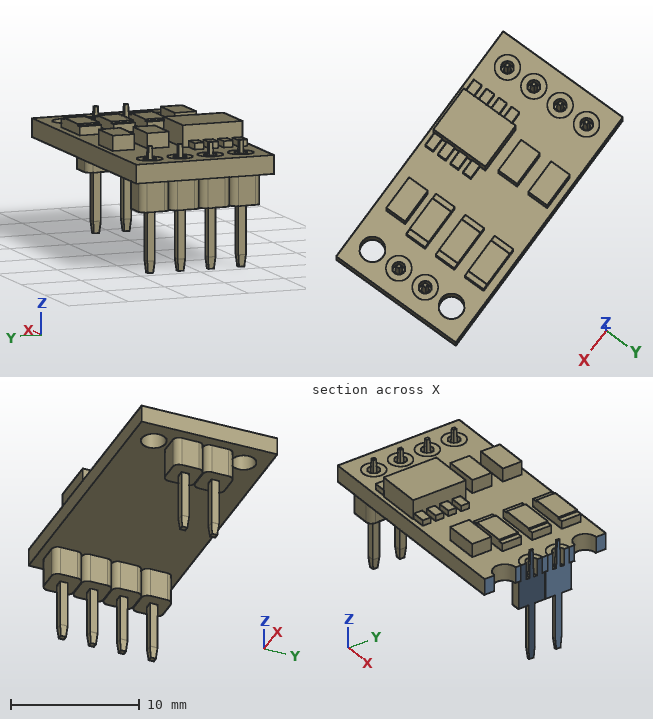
import cadquery as cq

board_length = 22.0
board_width = 11.5
board_thickness = 1.5

row_x = 8.89
row_span = 7.61
pins_per_row = 4
pin_pitch = row_span / (pins_per_row - 1)
row_y = [i * pin_pitch - row_span / 2 for i in range(pins_per_row)]
left_pin_points = [(-row_x, y) for y in row_y]
right_pin_points = [(row_x, y) for y in row_y[1:-1]]
mounting_points = [(row_x, y) for y in (row_y[0], row_y[-1])]

board_hole_diameter = 2.0

sleeve_bore = 1.01
block_width = 2.49
block_height = 2.5
block_corner_radius = 0.53
pin_width = 0.64
pin_shank_length = 4.0
pin_tip_length = 1.0
pin_tip_width = 0.45
pin_tail_base_width = 0.45
pin_tail_end_width = 0.29
pin_tail_rise = 1.0

chip_length = 3.0
chip_width = 1.8
capacitor_height = 1.2
capacitor_points = [(-3.23, 4.33), (-3.23, 1.45), (4.3, -3.83)]
resistor_height = 0.84
resistor_terminal_height = 0.7
resistor_terminal_length = 0.46
resistor_x = 4.49
resistor_middle_y = 1.39
resistor_pitch = 2.82

transceiver_x = -3.3
transceiver_y = -2.88
transceiver_length = 4.0
transceiver_width = 5.0
transceiver_height = 1.75
lead_span = 6.4
lead_width = 0.77
lead_height = 0.5
lead_pitch = 1.2
lead_count = 4
lead_middle_y = -3.1


def box_on(z, length, width, height, points):
    """Equal boxes centred on the points, standing on the plane at z."""
    return (
        cq.Workplane("XY", origin=(0, 0, z))
        .pushPoints(points)
        .rect(length, width)
        .extrude(height)
    )


def tapered_square(z, start_width, end_width, rise):
    """A square bar that tapers along Z; a negative rise makes it point down."""
    return (
        cq.Workplane("XY", origin=(0, 0, z))
        .rect(start_width, start_width)
        .workplane(offset=rise)
        .rect(end_width, end_width)
        .loft()
    )


def make_resistors():
    points = [(resistor_x, resistor_middle_y + i * resistor_pitch) for i in (-1, 0, 1)]
    terminal_span = chip_length + 2 * resistor_terminal_length
    bodies = box_on(0, chip_length, chip_width, resistor_height, points)
    terminals = box_on(0, terminal_span, chip_width, resistor_terminal_height, points)
    return bodies.union(terminals)


def make_transceiver():
    package = box_on(
        0, transceiver_length, transceiver_width, transceiver_height, [(transceiver_x, transceiver_y)]
    )
    lead_points = [
        (transceiver_x, lead_middle_y + (i - (lead_count - 1) / 2) * lead_pitch)
        for i in range(lead_count)
    ]
    leads = box_on(0, lead_span, lead_width, lead_height, lead_points)
    return package.union(leads)


def make_board():
    """The board with its holes and the components fixed to its top face."""
    plate = box_on(-board_thickness, board_length, board_width, board_thickness, [(0, 0)])
    holes = (
        cq.Workplane("XY", origin=(0, 0, -board_thickness))
        .pushPoints(left_pin_points + right_pin_points + mounting_points)
        .circle(board_hole_diameter / 2)
        .extrude(board_thickness)
    )
    capacitors = box_on(0, chip_length, chip_width, capacitor_height, capacitor_points)
    return plate.cut(holes).union(capacitors).union(make_resistors()).union(make_transceiver())


def make_header_pin():
    """A header pin on the Z axis: sleeve, block, shank, pointed tip and thin tail."""
    block_bottom = -board_thickness - block_height
    shank_bottom = block_bottom - pin_shank_length
    sleeve = (
        cq.Workplane("XY", origin=(0, 0, -board_thickness))
        .circle(board_hole_diameter / 2)
        .circle(sleeve_bore / 2)
        .extrude(board_thickness)
    )
    block = (
        box_on(block_bottom, block_width, block_width, block_height, [(0, 0)])
        .edges("|Z")
        .fillet(block_corner_radius)
    )
    shank = box_on(shank_bottom, pin_width, pin_width, pin_shank_length, [(0, 0)])
    tip = tapered_square(shank_bottom, pin_width, pin_tip_width, -pin_tip_length)
    tail = tapered_square(
        -board_thickness, pin_tail_base_width, pin_tail_end_width, board_thickness + pin_tail_rise
    )
    return block.union(sleeve).union(shank).union(tip).union(tail)


board = make_board()
header_pin = make_header_pin().val()
header_pins = [header_pin.translate(cq.Vector(x, y, 0)) for x, y in left_pin_points + right_pin_points]

result = cq.Compound.makeCompound([board.val(), *header_pins])